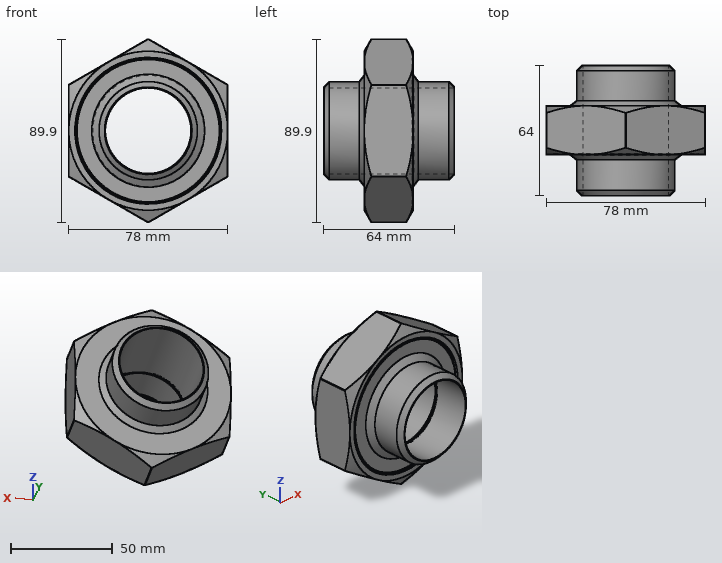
import cadquery as cq
import math

across_flats = 78.0
across_corners = 89.9
length = 64.0
nut_front = -11.8
nut_back = 12.2
nut_chamfer_angle = 30.0

bore_diameter = 42.0
pipe_diameter = 48.3
end_chamfer = 2.7

bore_groove_diameter = 43.2
bore_groove_front = -12.05
bore_groove_width = 1.1

collar_diameter = 55.5
collar_front = -14.3
collar_back = 14.7
collar_slope = 1.3

recess_diameter = 72.0
groove_bottom_diameter = 71.0
insert_diameter = 69.9
groove_depth = 0.5

end_y = length / 2
collar_rise = (collar_diameter - pipe_diameter) / 2
collar_run = collar_rise / collar_slope
insert_front = collar_front + collar_run


def revolve_profile(points):
    """Revolve (radius, y) points about the Y axis."""
    return cq.Workplane("XY").polyline(points).close().revolve(360, (0, 0, 0), (0, 1, 0))


def hexagon_nut():
    """Hexagonal prism with conical chamfers meeting its faces at the flats."""
    flat_radius = across_flats / 2
    corner_radius = across_corners / 2
    chamfer_depth = (corner_radius - flat_radius) * math.tan(math.radians(nut_chamfer_angle))
    hexagon_diameter = across_flats / math.cos(math.pi / 6)
    prism = (
        cq.Workplane("XZ", origin=(0, nut_back, 0))
        .transformed(rotate=(0, 0, 90))
        .polygon(6, hexagon_diameter)
        .extrude(nut_back - nut_front)
    )
    envelope = revolve_profile([
        (0, nut_front),
        (flat_radius, nut_front),
        (corner_radius, nut_front + chamfer_depth),
        (corner_radius, nut_back - chamfer_depth),
        (flat_radius, nut_back),
        (0, nut_back),
    ])
    return prism.intersect(envelope)


def front_recess():
    """Shallow recess in the front nut face, with a narrow tapered groove at its rim."""
    groove_bottom = insert_front + groove_depth
    return revolve_profile([
        (0, nut_front),
        (recess_diameter / 2, nut_front),
        (groove_bottom_diameter / 2, groove_bottom),
        (insert_diameter / 2, groove_bottom),
        (insert_diameter / 2, insert_front),
        (0, insert_front),
    ])


def pipe():
    """Solid pipe body with chamfered ends and a conical collar on both sides of the nut."""
    pipe_radius = pipe_diameter / 2
    collar_radius = collar_diameter / 2
    end_radius = pipe_radius - end_chamfer
    return revolve_profile([
        (0, -end_y),
        (end_radius, -end_y),
        (pipe_radius, -end_y + end_chamfer),
        (pipe_radius, collar_front),
        (collar_radius, insert_front),
        (collar_radius, collar_back - collar_run),
        (pipe_radius, collar_back),
        (pipe_radius, end_y - end_chamfer),
        (end_radius, end_y),
        (0, end_y),
    ])


def bore():
    """Through bore with one shallow internal groove."""
    groove_back = bore_groove_front + bore_groove_width
    bore_radius = bore_diameter / 2
    groove_radius = bore_groove_diameter / 2
    return revolve_profile([
        (0, -end_y),
        (bore_radius, -end_y),
        (bore_radius, bore_groove_front),
        (groove_radius, bore_groove_front),
        (groove_radius, groove_back),
        (bore_radius, groove_back),
        (bore_radius, end_y),
        (0, end_y),
    ])


result = hexagon_nut().cut(front_recess()).union(pipe()).cut(bore())